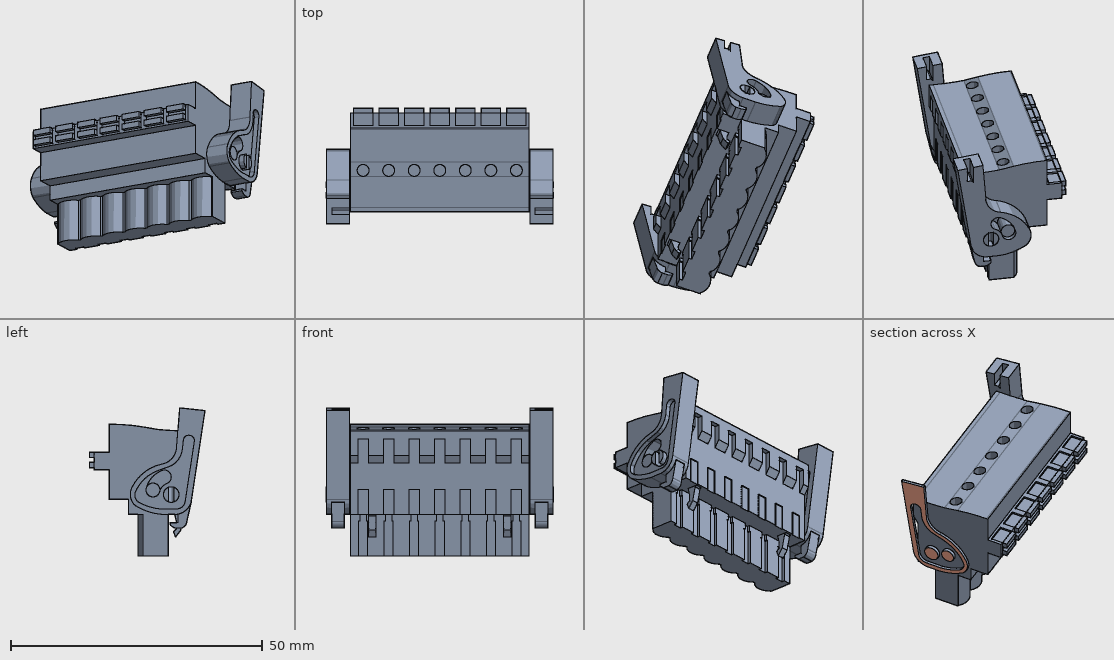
import cadquery as cq
import math


POLE_COUNT = 7
PITCH = 5.08
HOUSING_WIDTH = POLE_COUNT * PITCH
POLE_XS = [(i - (POLE_COUNT - 1) / 2) * PITCH for i in range(POLE_COUNT)]

BACK_Y = 15.69
TOP_Z = 26.27
STEP_Y = 11.87
STEP_Z = 11.31
BASE_Z = 8.31
PLUG_FRONT_Y = 3.95
PLUG_BACK_Y = 8.99
BROW_DEPTH = 1.0
BROW_BOTTOM_Z = 18.53
BROW_BEVEL_Z = 20.03
FRONT_TOP_Z = 24.93
FRONT_FLAT_Y = -0.14
BACK_FLAT_Y = 15.42
HOLE_BAND_BACK = (8.90, 25.72)
HOLE_BAND_FRONT = (6.00, 25.22)

BLOCK_LENGTH = 3.0
BLOCK_Y = BACK_Y + BLOCK_LENGTH
BLOCK_BOTTOM_Z = 17.17
BLOCK_TOP_Z = 20.70
BUTTON_WIDTH = 3.86
BUTTON_SETBACK = 0.5
BUTTON_FRONT_Y = BACK_Y + BUTTON_SETBACK
BUTTON_BOTTOM_Z = 17.57
BUTTON_RECESS = 0.37
PRONG_LENGTH = 0.95
PRONG_HEIGHT = 1.12

HOLE_DIAMETER = 2.36
HOLE_Y = 7.25
HOLE_DEPTH = 8.0
UPPER_NOTCH_WIDTH = 2.12
UPPER_NOTCH_TOP_Z = 23.30
LOWER_NOTCH_WIDTH = 2.06
LOWER_NOTCH_TOP_Z = 13.30
LOWER_NOTCH_DEPTH = 0.2
PLUG_SLOT_WIDTH = 1.8
PLUG_SLOT_NECK_WIDTH = 1.3
PLUG_SLOT_SHOULDER_Z = 7.05
PLUG_SLOT_DEPTH = 0.6
RIB_WIDTH = 4.6
RIB_HEIGHT = 1.02
LATCH_WIDTH = 1.43
LATCH_X = 13.42

LEVER_WIDTH = 4.65
LEVER_GAP = 0.12
LEVER_INNER_X = HOUSING_WIDTH / 2 + LEVER_GAP
LEVER_OUTER_X = LEVER_INNER_X + LEVER_WIDTH
POCKET_DEPTH = 1.05
PIVOT_Y = 3.36
PIVOT_Z = 12.26
PIVOT_DIAMETER = 3.1
PIVOT_PROTRUSION = 0.08
PIVOT_END_X = LEVER_OUTER_X + PIVOT_PROTRUSION
PIVOT_SLOT_WIDTH = 1.0
PIVOT_SLOT_DEPTH = 2.0
GUIDE_DIAMETER = 2.76
GUIDE_RADIUS = 3.75
GUIDE_START_ANGLE = 14.0
GUIDE_END_ANGLE = 68.5
GUIDE_END_X = LEVER_OUTER_X - POCKET_DEPTH
GRIP_SLOT_WIDTH = 1.27
GRIP_SLOT_DEPTH = 3.0
GRIP_SLOT_RAMP = 0.44
GRIP_SLOT_WALL = 1.08
LEVER_TOP_BACK = (1.70, 29.52)
LEVER_TOP_FRONT = (-3.38, 28.98)
HOOK_WIDTH = 2.52


def box(x_min, x_max, y_min, y_max, z_min, z_max):
    size = (x_max - x_min, y_max - y_min, z_max - z_min)
    return cq.Workplane("XY").box(*size, centered=False).translate((x_min, y_min, z_min))


def centred_box(x, width, y_min, y_max, z_min, z_max):
    return box(x - width / 2, x + width / 2, y_min, y_max, z_min, z_max)


def side_sketch(x_start):
    """Workplane whose local axes are the part's Y and Z, extruding toward +X."""
    return cq.Workplane("YZ", origin=(x_start, 0, 0))


def x_cylinder(x_start, length, y, z, diameter):
    return side_sketch(x_start).center(y, z).circle(diameter / 2).extrude(length)


def flat_start_arc_middle(flat_end, other_end):
    """Middle of a shallow arc that leaves flat_end level: a quarter of the rise at half the run."""
    y = (flat_end[0] + other_end[0]) / 2
    z = flat_end[1] + (other_end[1] - flat_end[1]) / 4
    return (y, z)


def guide_point(angle):
    """Point on the guide circle around the pivot, as (Y, Z)."""
    a = math.radians(angle)
    return (PIVOT_Y + GUIDE_RADIUS * math.cos(a), PIVOT_Z + GUIDE_RADIUS * math.sin(a))


def housing_body():
    crown = (BACK_FLAT_Y, TOP_Z)
    brow = (FRONT_FLAT_Y, FRONT_TOP_Z)
    return (
        side_sketch(-HOUSING_WIDTH / 2)
        .moveTo(PLUG_FRONT_Y, 0)
        .lineTo(PLUG_BACK_Y, 0)
        .lineTo(PLUG_BACK_Y, BASE_Z)
        .lineTo(STEP_Y, BASE_Z)
        .lineTo(STEP_Y, STEP_Z)
        .lineTo(BACK_Y, STEP_Z)
        .lineTo(BACK_Y, BLOCK_BOTTOM_Z)
        .lineTo(BLOCK_Y, BLOCK_BOTTOM_Z)
        .lineTo(BLOCK_Y, BLOCK_TOP_Z)
        .lineTo(BACK_Y, BLOCK_TOP_Z)
        .lineTo(BACK_Y, TOP_Z)
        .lineTo(*crown)
        .threePointArc(flat_start_arc_middle(crown, HOLE_BAND_BACK), HOLE_BAND_BACK)
        .lineTo(*HOLE_BAND_FRONT)
        .threePointArc(flat_start_arc_middle(brow, HOLE_BAND_FRONT), brow)
        .lineTo(-BROW_DEPTH, FRONT_TOP_Z)
        .lineTo(-BROW_DEPTH, BROW_BEVEL_Z)
        .lineTo(0, BROW_BOTTOM_Z)
        .lineTo(0, BASE_Z)
        .lineTo(PLUG_FRONT_Y, BASE_Z)
        .close()
        .extrude(HOUSING_WIDTH)
    )


def pole_cuts(x):
    """Everything removed from the housing at one pole."""
    slot_back_y = PLUG_FRONT_Y + PLUG_SLOT_DEPTH
    hole_floor = cq.Workplane("XY", origin=(x, HOLE_Y, TOP_Z - HOLE_DEPTH))
    hole = hole_floor.circle(HOLE_DIAMETER / 2).extrude(HOLE_DEPTH)
    upper_notch = centred_box(x, UPPER_NOTCH_WIDTH, -BROW_DEPTH, 0, BROW_BOTTOM_Z, UPPER_NOTCH_TOP_Z)
    lower_notch = centred_box(x, LOWER_NOTCH_WIDTH, 0, LOWER_NOTCH_DEPTH, BASE_Z, LOWER_NOTCH_TOP_Z)
    plug_slot = centred_box(x, PLUG_SLOT_WIDTH, PLUG_FRONT_Y, slot_back_y, 0, PLUG_SLOT_SHOULDER_Z)
    slot_neck = centred_box(x, PLUG_SLOT_NECK_WIDTH, PLUG_FRONT_Y, slot_back_y, PLUG_SLOT_SHOULDER_Z, BASE_Z)
    button_seat = centred_box(x, BUTTON_WIDTH, BUTTON_FRONT_Y, BLOCK_Y, BUTTON_BOTTOM_Z, BLOCK_TOP_Z)
    return [hole, upper_notch, lower_notch, plug_slot, slot_neck, button_seat]


def plug_rib(x):
    """Rounded rib down the back of the plug."""
    return (
        cq.Workplane("XY")
        .moveTo(x - RIB_WIDTH / 2, PLUG_BACK_Y)
        .threePointArc((x, PLUG_BACK_Y + RIB_HEIGHT), (x + RIB_WIDTH / 2, PLUG_BACK_Y))
        .close()
        .extrude(BASE_Z)
    )


def latch(x):
    """Barbed latch hanging below the front of the housing."""
    profile = [
        (2.68, BASE_Z), (2.32, 6.72), (2.32, 5.47), (2.95, 4.86),
        (2.50, 3.77), (1.45, 5.20), (0.82, 8.02), (0.50, BASE_Z),
    ]
    return side_sketch(x - LATCH_WIDTH / 2).polyline(profile).close().extrude(LATCH_WIDTH)


def pivot(side):
    """Slotted pivot on the housing end wall; side is -1 or +1."""
    wall_x = HOUSING_WIDTH / 2
    pin = x_cylinder(wall_x, PIVOT_END_X - wall_x, PIVOT_Y, PIVOT_Z, PIVOT_DIAMETER)
    round_x = PIVOT_END_X - PIVOT_SLOT_DEPTH + PIVOT_SLOT_WIDTH / 2
    z_min = PIVOT_Z - PIVOT_DIAMETER / 2
    z_max = PIVOT_Z + PIVOT_DIAMETER / 2
    y_min = PIVOT_Y - PIVOT_SLOT_WIDTH / 2
    y_max = PIVOT_Y + PIVOT_SLOT_WIDTH / 2
    slot = box(round_x, PIVOT_END_X, y_min, y_max, z_min, z_max)
    slot_axis = cq.Workplane("XY", origin=(round_x, PIVOT_Y, z_min))
    slot_floor = slot_axis.circle(PIVOT_SLOT_WIDTH / 2).extrude(PIVOT_DIAMETER)
    pin = pin.cut(slot).cut(slot_floor)
    return pin if side > 0 else pin.mirror("YZ")


def guide_pin(side):
    wall_x = HOUSING_WIDTH / 2
    pin = x_cylinder(wall_x, GUIDE_END_X - wall_x, *guide_point(GUIDE_START_ANGLE), GUIDE_DIAMETER)
    return pin if side > 0 else pin.mirror("YZ")


def make_housing():
    body = housing_body()
    for x in POLE_XS:
        for cutter in pole_cuts(x):
            body = body.cut(cutter)
        body = body.union(plug_rib(x))
    for side in (-1, 1):
        body = body.union(latch(side * LATCH_X))
        body = body.union(pivot(side))
        body = body.union(guide_pin(side))
    return body


def make_button(x):
    """Release button: a body seated in the rear block, with two prongs reaching out of it."""
    body_top_z = BLOCK_TOP_Z - BUTTON_RECESS
    body = centred_box(x, BUTTON_WIDTH, BUTTON_FRONT_Y, BLOCK_Y, BUTTON_BOTTOM_Z, body_top_z)
    for prong_bottom_z in (BUTTON_BOTTOM_Z, BLOCK_TOP_Z - PRONG_HEIGHT):
        prong_top_z = prong_bottom_z + PRONG_HEIGHT
        prong = centred_box(x, BUTTON_WIDTH, BLOCK_Y, BLOCK_Y + PRONG_LENGTH, prong_bottom_z, prong_top_z)
        body = body.union(prong)
    return body


def lever_body(x_start):
    """Handle blending into a rounded cam around the pivot."""
    return (
        side_sketch(x_start)
        .moveTo(*LEVER_TOP_BACK)
        .lineTo(*LEVER_TOP_FRONT)
        .lineTo(-0.70, 11.29)
        .threePointArc((0.35, 9.22), (2.45, BASE_Z))
        .lineTo(5.10, BASE_Z)
        .threePointArc((7.90, 8.85), (10.45, 10.02))
        .threePointArc((11.50, 12.15), (11.08, 13.85))
        .threePointArc((8.68, 16.72), (5.31, 18.30))
        .threePointArc((3.25, 19.40), (2.30, 21.90))
        .close()
        .extrude(LEVER_WIDTH)
    )


def lever_pocket(x_start):
    """Shallow pocket that leaves a rim around the outer side of the lever."""
    return (
        side_sketch(x_start)
        .moveTo(-1.25, 22.95)
        .lineTo(0.57, 11.00)
        .threePointArc((1.10, 9.88), (2.40, 9.40))
        .lineTo(5.55, 9.40)
        .threePointArc((7.95, 9.90), (9.75, 10.68))
        .threePointArc((10.60, 12.10), (10.35, 13.10))
        .threePointArc((8.75, 15.30), (6.20, 16.95))
        .lineTo(3.45, 17.95)
        .threePointArc((1.80, 19.45), (1.18, 21.05))
        .lineTo(0.97, 22.95)
        .threePointArc((-0.14, 24.06), (-1.25, 22.95))
        .close()
        .extrude(POCKET_DEPTH)
    )


def guide_slot(x_start, length):
    """Curved slot around the pivot in which the guide pin travels."""
    half_width = GUIDE_DIAMETER / 2
    middle_angle = (GUIDE_START_ANGLE + GUIDE_END_ANGLE) / 2

    def edge_point(angle, offset):
        a = math.radians(angle)
        r = GUIDE_RADIUS + offset
        return (PIVOT_Y + r * math.cos(a), PIVOT_Z + r * math.sin(a))

    def end_cap(angle, direction):
        y, z = guide_point(angle)
        a = math.radians(angle + direction * 90)
        return (y + half_width * math.cos(a), z + half_width * math.sin(a))

    return (
        side_sketch(x_start)
        .moveTo(*edge_point(GUIDE_START_ANGLE, half_width))
        .threePointArc(edge_point(middle_angle, half_width), edge_point(GUIDE_END_ANGLE, half_width))
        .threePointArc(end_cap(GUIDE_END_ANGLE, 1), edge_point(GUIDE_END_ANGLE, -half_width))
        .threePointArc(edge_point(middle_angle, -half_width), edge_point(GUIDE_START_ANGLE, -half_width))
        .threePointArc(end_cap(GUIDE_START_ANGLE, -1), edge_point(GUIDE_START_ANGLE, half_width))
        .close()
        .extrude(length)
    )


def handle_top_z(y):
    """Height of the sloping handle top at a given Y."""
    slope = (LEVER_TOP_BACK[1] - LEVER_TOP_FRONT[1]) / (LEVER_TOP_BACK[0] - LEVER_TOP_FRONT[0])
    return LEVER_TOP_BACK[1] + slope * (y - LEVER_TOP_BACK[0])


def grip_slot(x_start):
    """Upright slot in the handle top, open on the +X side; its floor falls away along the back wall."""
    middle_y = (LEVER_TOP_BACK[0] + LEVER_TOP_FRONT[0]) / 2
    front_y = middle_y - GRIP_SLOT_WIDTH / 2
    back_y = middle_y + GRIP_SLOT_WIDTH / 2
    break_y = back_y - GRIP_SLOT_RAMP
    profile = [
        (front_y, handle_top_z(front_y)),
        (front_y, handle_top_z(front_y) - GRIP_SLOT_DEPTH),
        (break_y, handle_top_z(break_y) - GRIP_SLOT_DEPTH),
        (back_y, handle_top_z(break_y) - GRIP_SLOT_DEPTH - GRIP_SLOT_RAMP),
        (back_y, handle_top_z(back_y)),
    ]
    slot = side_sketch(x_start + GRIP_SLOT_WALL).polyline(profile).close()
    return slot.extrude(LEVER_WIDTH - GRIP_SLOT_WALL)


def hook(x_start):
    """Locking hook below the lever, centred across its width."""
    return (
        side_sketch(x_start + (LEVER_WIDTH - HOOK_WIDTH) / 2)
        .moveTo(-0.64, 10.75)
        .lineTo(0.23, 6.95)
        .threePointArc((0.62, 6.02), (1.36, 5.56))
        .lineTo(2.45, 5.56)
        .threePointArc((3.10, 5.82), (3.60, 6.30))
        .lineTo(3.60, 6.70)
        .lineTo(2.04, 6.70)
        .lineTo(2.04, 9.40)
        .close()
        .extrude(HOOK_WIDTH)
    )


def make_lever(x_start):
    floor_x = x_start + POCKET_DEPTH
    floor_thickness = LEVER_WIDTH - POCKET_DEPTH
    lever = lever_body(x_start).union(hook(x_start))
    lever = lever.cut(lever_pocket(x_start)).cut(grip_slot(x_start))
    lever = lever.cut(x_cylinder(x_start, LEVER_WIDTH, PIVOT_Y, PIVOT_Z, PIVOT_DIAMETER))
    return lever.cut(guide_slot(floor_x, floor_thickness))


housing = make_housing()
buttons = [make_button(x) for x in POLE_XS]
levers = [make_lever(x_start) for x_start in (-LEVER_OUTER_X, LEVER_INNER_X)]

result = cq.Compound.makeCompound(
    [housing.val()] + [button.val() for button in buttons] + [lever.val() for lever in levers]
)